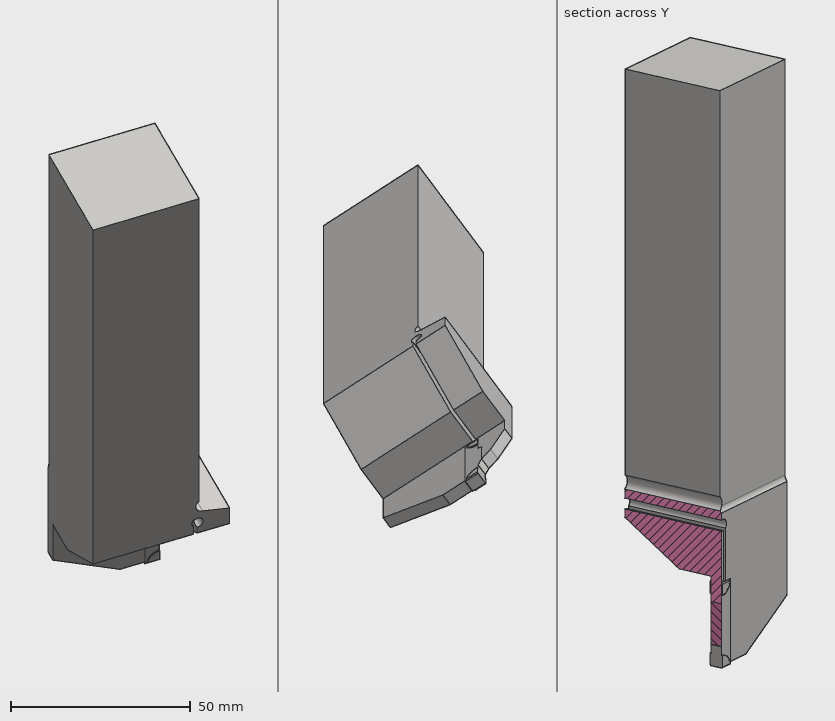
import cadquery as cq
import math

total_height = 170.0
shank_side = 32.0

head_depth = 41.1
head_face_x = -0.7
step_top = 47.5
step_bottom = 45.7

relief_top = 50.3
relief_bottom = 46.0
relief_end_y = 33.0
relief_depth = 1.0
overhang_top = 44.0
overhang_bottom = 20.4
jaw_knee = (36.4, 11.9)
jaw_tip = (33.3, 9.0)
heel_top = 12.2
heel_y = 20.2
blade_bottom = 0.7

blade_inner_x = 2.9
ledge_z = 26.4
ledge_end_x = 13.6
slope_top = 37.9

slit_width = 1.0
slit_y = 30.8
slit_hole_y = 31.5
slit_hole_z = 42.0
slit_hole_radius = 1.7

insert_back_y = 27.7
insert_rake_y = 32.1
insert_top = 25.2
insert_ridge_y = jaw_tip[0]
ridge_top_start = 18.9
ridge_top = 17.8
ridge_bottom_start = 6.3
cutting_width = 4.2
cutting_radius = 3.7
cutting_face_x = -1.0
cutting_corner = 0.3


def extrude_along_x(outline, x_start, x_end):
    """Extrude a closed outline in the YZ plane between two X positions."""
    return outline.extrude(x_end - x_start).translate((x_start, 0, 0))


def insert_outline():
    return (
        cq.Workplane("YZ")
        .moveTo(insert_back_y, 0)
        .lineTo(insert_rake_y, 0)
        .lineTo(insert_rake_y, ridge_bottom_start)
        .lineTo(insert_ridge_y, jaw_tip[1])
        .lineTo(insert_ridge_y, ridge_top)
        .lineTo(insert_rake_y, ridge_top_start)
        .lineTo(insert_rake_y, insert_top)
        .lineTo(insert_back_y, insert_top)
        .close()
    )


def make_side_body():
    outline = (
        cq.Workplane("YZ")
        .moveTo(0, total_height)
        .lineTo(0, heel_top)
        .lineTo(heel_y, blade_bottom)
        .lineTo(insert_back_y, blade_bottom)
        .lineTo(insert_rake_y, ridge_bottom_start)
        .lineTo(*jaw_tip)
        .lineTo(*jaw_knee)
        .lineTo(head_depth, overhang_bottom)
        .lineTo(head_depth, overhang_top)
        .lineTo(relief_end_y, relief_bottom)
        .threePointArc(
            (shank_side - relief_depth, (relief_top + relief_bottom) / 2),
            (shank_side, relief_top),
        )
        .lineTo(shank_side, total_height)
        .close()
    )
    return extrude_along_x(outline, head_face_x, shank_side)


def make_front_envelope():
    """Front outline: -X face flaring out in a concave arc, thin blade, ledge and slope."""
    return (
        cq.Workplane("XZ")
        .moveTo(0, total_height)
        .lineTo(0, step_top)
        .tangentArcPoint((head_face_x, step_bottom), relative=False)
        .lineTo(head_face_x, 0)
        .lineTo(blade_inner_x, 0)
        .lineTo(blade_inner_x, ledge_z)
        .lineTo(ledge_end_x, ledge_z)
        .lineTo(shank_side, slope_top)
        .lineTo(shank_side, total_height)
        .close()
        .extrude(-head_depth)
    )


def make_slit():
    slit_height = slit_hole_z - insert_top
    slit = cq.Workplane("YZ").center(slit_y, insert_top + slit_height / 2).rect(slit_width, slit_height)
    hole = cq.Workplane("YZ").center(slit_hole_y, slit_hole_z).circle(slit_hole_radius)
    slit_cut = extrude_along_x(slit, head_face_x, shank_side)
    hole_cut = extrude_along_x(hole, head_face_x, shank_side)
    return slit_cut.union(hole_cut)


def make_holder():
    insert_seat = extrude_along_x(insert_outline(), head_face_x, blade_inner_x)
    return make_side_body().intersect(make_front_envelope()).cut(make_slit()).cut(insert_seat)


def make_cutting_end(corner_z, inward):
    """Widened quarter-round end whose centre is a rake-face corner; inward is +1 or -1 along Z."""
    diagonal = cutting_radius * math.sqrt(0.5)
    outline = (
        cq.Workplane("YZ")
        .moveTo(insert_rake_y, corner_z)
        .lineTo(insert_rake_y - cutting_radius, corner_z)
        .threePointArc(
            (insert_rake_y - diagonal, corner_z + inward * diagonal),
            (insert_rake_y, corner_z + inward * cutting_radius),
        )
        .close()
    )
    end = extrude_along_x(outline, cutting_face_x, cutting_face_x + cutting_width)
    outer_face = "<Z" if inward > 0 else ">Z"
    return end.faces(outer_face).edges("|Y").chamfer(cutting_corner)


def make_insert():
    insert = extrude_along_x(insert_outline(), head_face_x, blade_inner_x)
    for corner_z, inward in ((0, 1), (insert_top, -1)):
        insert = insert.union(make_cutting_end(corner_z, inward))
    return insert


holder = make_holder()
insert = make_insert()
result = cq.Compound.makeCompound([holder.val(), insert.val()])